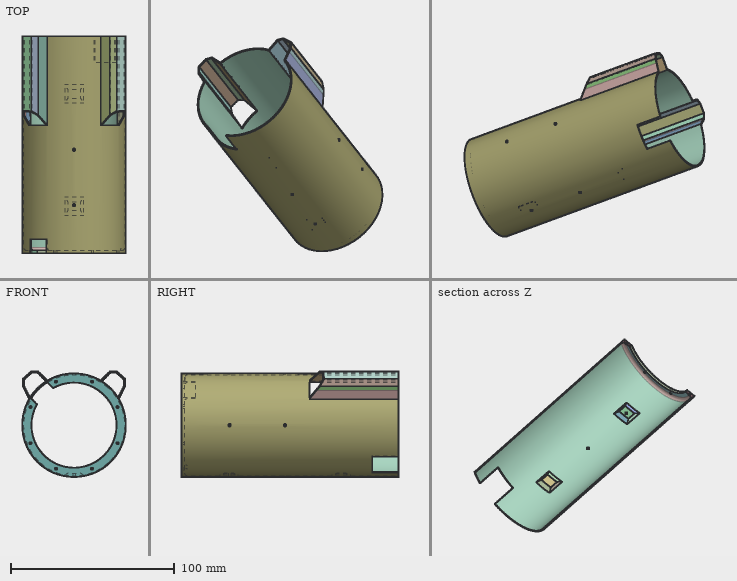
import cadquery as cq
import math

length = 133.0
outer_d = 63.6
inner_d = 62.0
outer_r = outer_d / 2
inner_r = inner_d / 2
wall = outer_r - inner_r
reach = 2 * outer_r

flange_bore_r = 26.0
flange_thickness = 1.8
flange_fillet = 2.0
screw_d = 1.2
screw_count = 8
screw_circle_r = (flange_bore_r + outer_r) / 2

notch_angle = 135.0
notch_width = 14.0
notch_depth = 8.5

pin_d = 1.4
pin_positions = (29.5, 63.4)

fin_angle = 45.0
fin_start = 78.5
fin_wall = wall
fin_top_z = 32.96
fin_top_inner_x = 22.0
fin_top_outer_x = 26.1
fin_side_x = 31.3
fin_side_top_z = 28.4
fin_side_bottom_z = 23.8
fin_kink_x = 30.12
fin_kink_z = 21.4
fin_foot_x = 26.5
fin_root = 14.0
fin_nose_base = 31.0
fin_nose_slope = 51.5

rear_opening_angle = -52.0
rear_opening_width = 16.0
rear_opening_length = 16.0

pad_starts = (23.4, 92.2)
pad_size = 11.2
pad_height = 1.5
pad_end_run = 2.9
pad_side_run = 2.0


def radial_box(angle, width, start, end):
    """Box reaching from the tube axis out past the wall, in the direction `angle` above +X."""
    box = cq.Workplane("XY").box(reach, end - start, width, centered=(False, False, True))
    return box.translate((0, start, 0)).rotate((0, 0, 0), (0, 1, 0), -angle)


def revolve_about_y(profile):
    return profile.close().revolve(360, (0, 0, 0), (0, 1, 0))


def make_tube():
    profile = (
        cq.Workplane("XY")
        .moveTo(flange_bore_r, 0)
        .lineTo(outer_r, 0)
        .lineTo(outer_r, length)
        .lineTo(inner_r, length)
        .lineTo(inner_r, flange_thickness + flange_fillet)
        .radiusArc((inner_r - flange_fillet, flange_thickness), flange_fillet)
        .lineTo(flange_bore_r, flange_thickness)
    )
    return revolve_about_y(profile)


def fin_section():
    """Closed outline of the right fin, down to its root inside the bore."""
    fin_root_top_z = fin_top_z - (fin_top_inner_x - fin_root)
    outline = [
        (fin_root, fin_root),
        (fin_root, fin_root_top_z),
        (fin_top_inner_x, fin_top_z),
        (fin_top_outer_x, fin_top_z),
        (fin_side_x, fin_side_top_z),
        (fin_side_x, fin_side_bottom_z),
        (fin_kink_x, fin_kink_z),
        (fin_foot_x, fin_root),
    ]
    return cq.Workplane("XZ", origin=(0, fin_start, 0)).polyline(outline).close()


def fin_nose_cutter():
    """Wedge in front of the right fin, bounded by the plane of the sloping nose."""
    nose_run = (reach - fin_nose_base) / math.tan(math.radians(fin_nose_slope))
    wedge = (
        cq.Workplane("XY")
        .polyline([(fin_nose_base, fin_start), (reach, fin_start + nose_run), (reach, fin_start)])
        .close()
        .extrude(outer_r, both=True)
    )
    return wedge.rotate((0, 0, 0), (0, 1, 0), -fin_angle)


def add_fins(body):
    run = fin_start - length
    bore = cq.Workplane("XZ").circle(inner_r).extrude(-length)
    fin = fin_section().extrude(run).cut(fin_nose_cutter()).cut(bore)
    hollow = fin_section().offset2D(-fin_wall).extrude(run)
    body = body.union(fin).union(fin.mirror("YZ"))
    return body.cut(hollow).cut(hollow.mirror("YZ"))


def make_pad(start):
    """Ring with sloping ends, trimmed to a block with sloping sides."""
    end = start + pad_size
    half = pad_size / 2
    top_r = inner_r - pad_height
    bury = wall / 2
    buried_end_run = bury * pad_end_run / pad_height
    ring_profile = cq.Workplane("XY").polyline(
        [
            (inner_r + bury, start - buried_end_run),
            (top_r, start + pad_end_run),
            (top_r, end - pad_end_run),
            (inner_r + bury, end + buried_end_run),
        ]
    )
    ring = revolve_about_y(ring_profile)

    side_slope = pad_side_run / pad_height
    floor_z = -math.sqrt(inner_r**2 - half**2)
    bottom_z = -outer_r
    top_z = floor_z + 2 * pad_height
    bottom_half = half + side_slope * (floor_z - bottom_z)
    top_half = half - side_slope * (top_z - floor_z)
    block = (
        cq.Workplane("XZ")
        .polyline([(-bottom_half, bottom_z), (bottom_half, bottom_z), (top_half, top_z), (-top_half, top_z)])
        .close()
        .extrude(-length)
    )
    return ring.intersect(block)


def make_screw_holes():
    first_angle = 180 / screw_count
    holes = cq.Workplane("XZ").polarArray(screw_circle_r, first_angle, 360, screw_count)
    return holes.circle(screw_d / 2).extrude(-flange_thickness)


def make_pin_holes(y):
    holes = None
    for plane in ("XY", "YZ"):
        hole = cq.Workplane(plane, origin=(0, y, 0)).circle(pin_d / 2).extrude(reach, both=True)
        holes = hole if holes is None else holes.union(hole)
    return holes


body = add_fins(make_tube())
body = body.cut(radial_box(notch_angle, notch_width, 0, notch_depth))
body = body.cut(radial_box(rear_opening_angle, rear_opening_width, length - rear_opening_length, length))
for pad_start in pad_starts:
    body = body.union(make_pad(pad_start))
body = body.cut(make_screw_holes())
for pin_y in pin_positions:
    body = body.cut(make_pin_holes(pin_y))

result = body